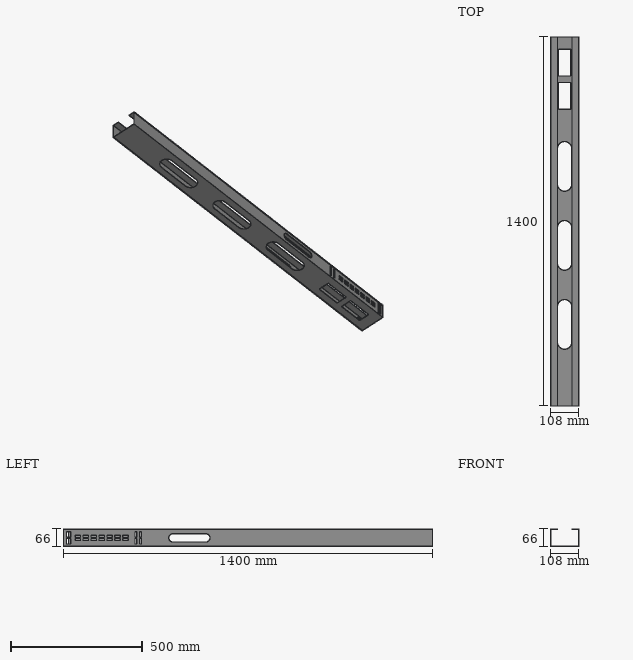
import cadquery as cq

length = 1400.0
width = 108.0
height = 66.0
wall = 2.0
lip = 27.0
end_y = length / 2
floor_cut_depth = 3 * wall

window_length = 101.0
window_width = 46.0
window_centers = (98.0, 224.0)

floor_slot_length = 188.0
floor_slot_width = 53.0
floor_slot_first = 491.0
floor_slot_pitch = 300.0
floor_slot_count = 3

side_slot_length = 155.0
side_slot_width = 31.0
side_slot_center = 477.0

fixing_length = 20.0
fixing_width = 6.0
row_start = 45.0
row_end = 245.0
row_count = 7
row_pitch = (row_end - row_start - fixing_length) / (row_count - 1)
row_first = row_start + fixing_length / 2
row_spacing = 13.0
column_distances = (15.0, 24.0, 275.0, 293.0)
column_spacing = 25.0


def channel():
    """C-shaped channel, open along the top between two inward lips."""
    outer = cq.Workplane("XY").box(width, length, height)
    cavity = cq.Workplane("XY").box(width - 2 * wall, length, height - 2 * wall)
    opening = (
        cq.Workplane("XY")
        .workplane(offset=height / 2)
        .rect(width - 2 * lip, length)
        .extrude(-2 * wall)
    )
    return outer.cut(cavity).cut(opening)


def floor_cutter():
    """Windows and long slots that pierce only the floor."""
    plane = cq.Workplane("XY").workplane(offset=-height / 2 - wall)
    window_points = [(0, end_y - distance) for distance in window_centers]
    windows = plane.pushPoints(window_points).rect(window_width, window_length).extrude(floor_cut_depth)
    slot_points = [
        (0, end_y - floor_slot_first - i * floor_slot_pitch) for i in range(floor_slot_count)
    ]
    slots = (
        plane.pushPoints(slot_points).slot2D(floor_slot_length, floor_slot_width, 90).extrude(floor_cut_depth)
    )
    return windows.union(slots)


def side_cutter():
    """Slots that pierce both side walls."""
    plane = cq.Workplane("YZ")
    long_slot = (
        plane.center(end_y - side_slot_center, 0)
        .slot2D(side_slot_length, side_slot_width)
        .extrude(width, both=True)
    )
    row_points = [
        (end_y - row_first - i * row_pitch, side * row_spacing / 2)
        for i in range(row_count)
        for side in (-1, 1)
    ]
    rows = plane.pushPoints(row_points).rect(fixing_length, fixing_width).extrude(width, both=True)
    column_points = [
        (end_y - distance, side * column_spacing / 2)
        for distance in column_distances
        for side in (-1, 1)
    ]
    columns = (
        plane.pushPoints(column_points).rect(fixing_width, fixing_length).extrude(width, both=True)
    )
    return long_slot.union(rows).union(columns)


result = channel().cut(floor_cutter()).cut(side_cutter())